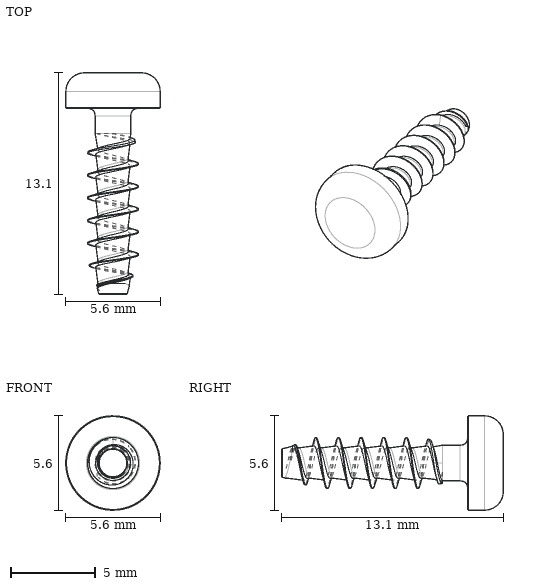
import cadquery as cq
import math

total_length = 13.1
head_height = 2.11
head_diameter = 5.6
head_radius = head_diameter / 2
head_dome_radius = 1.11
seat_edge_chamfer = 0.05
tip_height = total_length - head_height

shank_radius = 1.06
shank_end = 1.49
neck_radius = 1.57
neck_height = 0.46

full_thread_length = 8.37
full_thread_turns = 25 / 4
pitch = full_thread_length / full_thread_turns
crest_height_at_x = 0.6
crest_radius = 1.5
crest_half_width = 0.03
root_radius = 0.9
embed_radius = 0.79
head_flank_width = 0.21
tip_flank_width = 0.16
core_step_radius = 1.03
core_taper_length = 1.1
core_taper_end_radius = 0.89

lead_taper_end = 2.42

run_in_radius = 1.2
run_in_end = 2.95
run_out_angle = 18
run_out_turns = 1.2
tip_radius = 0.85
tip_edge_chamfer = 0.04
tip_cone_start = 10.35
tip_cone_radius = 1.01

thread_clearance = 0.07
seam_angle = 137


def make_head_and_shank():
    """Domed head, flared neck and plain shank, revolved about Z."""
    return (
        cq.Workplane("XZ")
        .moveTo(0, -head_height)
        .lineTo(head_radius - head_dome_radius, -head_height)
        .tangentArcPoint((head_radius, head_dome_radius - head_height), relative=False)
        .lineTo(head_radius, -seat_edge_chamfer)
        .lineTo(head_radius - seat_edge_chamfer, 0)
        .lineTo(neck_radius, 0)
        .spline(
            [(shank_radius, neck_height)],
            tangents=[(-1, 0), (0, 1)],
            includeCurrent=True,
        )
        .lineTo(shank_radius, shank_end)
        .lineTo(root_radius, lead_taper_end)
        .lineTo(0, lead_taper_end)
        .close()
        .revolve(360, (0, 0, 0), (0, 1, 0))
    )


def sweep_along_helix(profile, turns):
    """Sweep a (radius, height) outline from the +X side along the thread helix."""
    helix = cq.Wire.makeHelix(pitch, turns * pitch, root_radius)
    return (
        cq.Workplane("XZ")
        .polyline(profile)
        .close()
        .sweep(cq.Workplane(obj=helix), isFrenet=True)
        .translate((0, 0, crest_height_at_x))
    )


def thread_profile():
    """Radial section of the thread, its foot buried in the core."""
    return [
        (embed_radius, -head_flank_width),
        (crest_radius, -crest_half_width),
        (crest_radius, crest_half_width),
        (embed_radius, tip_flank_width),
    ]


def make_thread():
    """Full-height thread, from below the shank end to the start of the run-out."""
    return sweep_along_helix(thread_profile(), full_thread_turns)


def make_run_out():
    """Last turns of the thread, sinking into the core on a narrowing helix."""
    length = run_out_turns * pitch
    end_radius = root_radius - length * math.tan(math.radians(run_out_angle))
    helix = (
        cq.Wire.makeHelix(pitch, length, end_radius, angle=run_out_angle)
        .rotate(cq.Vector(0, 0, 0), cq.Vector(1, 0, 0), 180)
        .translate(cq.Vector(0, 0, length))
        .rotate(cq.Vector(0, 0, 0), cq.Vector(0, 0, 1), 360 * run_out_turns)
    )
    return (
        cq.Workplane("XZ")
        .polyline(thread_profile())
        .close()
        .sweep(cq.Workplane(obj=helix), isFrenet=True)
        .rotate((0, 0, 0), (0, 0, 1), 360 * full_thread_turns)
        .translate((0, 0, crest_height_at_x + full_thread_length))
    )


def make_core_taper():
    """Helical wedge that narrows the core from each thread turn to the next."""
    profile = [
        (embed_radius, 0),
        (core_step_radius, 0),
        (core_taper_end_radius, core_taper_length),
        (embed_radius, core_taper_length),
    ]
    turns = (tip_height - crest_height_at_x) / pitch + 1
    return sweep_along_helix(profile, turns)


def make_core():
    """Plain cylinder inside the thread; its seam is turned clear of the ends of the helix."""
    return (
        cq.Workplane("XY")
        .circle(root_radius)
        .extrude(tip_height + pitch)
        .rotate((0, 0, 0), (0, 0, 1), seam_angle)
    )


def make_thread_envelope():
    """Outer limit of the thread, coned at the shank."""
    free_radius = crest_radius + thread_clearance
    return (
        cq.Workplane("XZ")
        .moveTo(0, shank_end)
        .lineTo(run_in_radius, shank_end)
        .lineTo(free_radius, run_in_end)
        .lineTo(free_radius, tip_height)
        .lineTo(0, tip_height)
        .close()
        .revolve(360, (0, 0, 0), (0, 1, 0))
    )


def make_core_envelope():
    """Outer limit of the core, coned at the tip."""
    return (
        cq.Workplane("XZ")
        .moveTo(0, shank_end)
        .lineTo(shank_radius, shank_end)
        .lineTo(shank_radius, tip_cone_start)
        .lineTo(tip_cone_radius, tip_cone_start)
        .lineTo(tip_radius, tip_height - tip_edge_chamfer)
        .lineTo(tip_radius - tip_edge_chamfer, tip_height)
        .lineTo(0, tip_height)
        .close()
        .revolve(360, (0, 0, 0), (0, 1, 0))
    )


core = make_core().union(make_core_taper()).intersect(make_core_envelope())
thread = make_thread().intersect(make_thread_envelope())
screw = make_head_and_shank().union(core).union(thread).union(make_run_out())

result = screw.rotate((0, 0, 0), (1, 0, 0), 90)